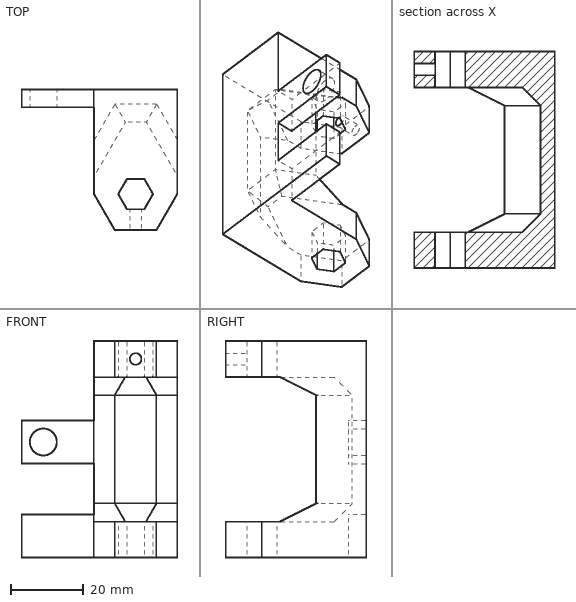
import cadquery as cq
import math

NOSE_FLATS = 20.0
HEIGHT = 60.0
BACK_Y = 29.0
EAR_THICKNESS = 10.0

OPENING_Y = 15.0
OPENING_CHAMFER = 5.0

BOLT_FLATS = 8.3
SCREW_DIAMETER = 3.2

ARM_LENGTH = 20.0
ARM_THICKNESS = 5.0
ARM_HEIGHT = 12.0
UPPER_ARM_Z = 26.0
ARM_HOLE_DIAMETER = 7.4
ARM_HOLE_INSET = 6.0

nose_apothem = NOSE_FLATS / 2
nose_radius = nose_apothem / math.cos(math.pi / 6)
end_x = -nose_radius - ARM_LENGTH
bolt_corners = BOLT_FLATS / math.cos(math.pi / 6)


def make_body():
    """Full-height block with a half-hexagon nose."""
    outline = [
        (-nose_radius, BACK_Y),
        (-nose_radius, 0),
        (-nose_radius / 2, -nose_apothem),
        (nose_radius / 2, -nose_apothem),
        (nose_radius, 0),
        (nose_radius, BACK_Y),
    ]
    return cq.Workplane("XY").polyline(outline).close().extrude(HEIGHT)


def opening_outline(apothem):
    """Rear half of a hexagon, its slanted walls carried forward past the nose."""
    half_flat = apothem * math.tan(math.pi / 6)
    front_y = -2 * nose_apothem
    rear_y = OPENING_Y + apothem
    front_x = half_flat + (rear_y - front_y) * math.tan(math.pi / 6)
    return [(-front_x, front_y), (-half_flat, rear_y), (half_flat, rear_y), (front_x, front_y)]


def make_opening():
    """Straight middle section with a tapered section above and below it."""
    wide = opening_outline(nose_apothem)
    narrow = opening_outline(nose_apothem - OPENING_CHAMFER)
    bottom = EAR_THICKNESS
    top = HEIGHT - EAR_THICKNESS
    straight_height = top - bottom - 2 * OPENING_CHAMFER
    middle = (
        cq.Workplane("XY", origin=(0, 0, bottom + OPENING_CHAMFER))
        .polyline(wide).close()
        .extrude(straight_height)
    )

    def taper(narrow_z, rise):
        return (
            cq.Workplane("XY", origin=(0, 0, narrow_z))
            .polyline(narrow).close()
            .workplane(offset=rise)
            .polyline(wide).close()
            .loft(ruled=True)
        )

    return middle.union(taper(bottom, OPENING_CHAMFER)).union(taper(top, -OPENING_CHAMFER))


def make_arm(bottom_z):
    """Flat arm flush with the rear face, reaching out to -X."""
    return (
        cq.Workplane("XY")
        .box(ARM_LENGTH, ARM_THICKNESS, ARM_HEIGHT, centered=False)
        .translate((end_x, BACK_Y - ARM_THICKNESS, bottom_z))
    )


def make_bolt_passage():
    """Hexagonal passage through both ears."""
    return cq.Workplane("XY").polygon(6, bolt_corners).extrude(HEIGHT)


def make_screw_hole():
    """Hole from the front of the upper ear into the bolt passage."""
    return (
        cq.Workplane("XZ", origin=(0, 0, HEIGHT - EAR_THICKNESS / 2))
        .circle(SCREW_DIAMETER / 2)
        .extrude(nose_apothem)
    )


def make_arm_hole():
    """Hole through the thickness of the upper arm."""
    return (
        cq.Workplane("XZ", origin=(end_x + ARM_HOLE_INSET, BACK_Y, UPPER_ARM_Z + ARM_HEIGHT / 2))
        .circle(ARM_HOLE_DIAMETER / 2)
        .extrude(ARM_THICKNESS)
    )


result = make_body().cut(make_opening())
for arm_z in (0, UPPER_ARM_Z):
    result = result.union(make_arm(arm_z))
for hole in (make_bolt_passage(), make_screw_hole(), make_arm_hole()):
    result = result.cut(hole)